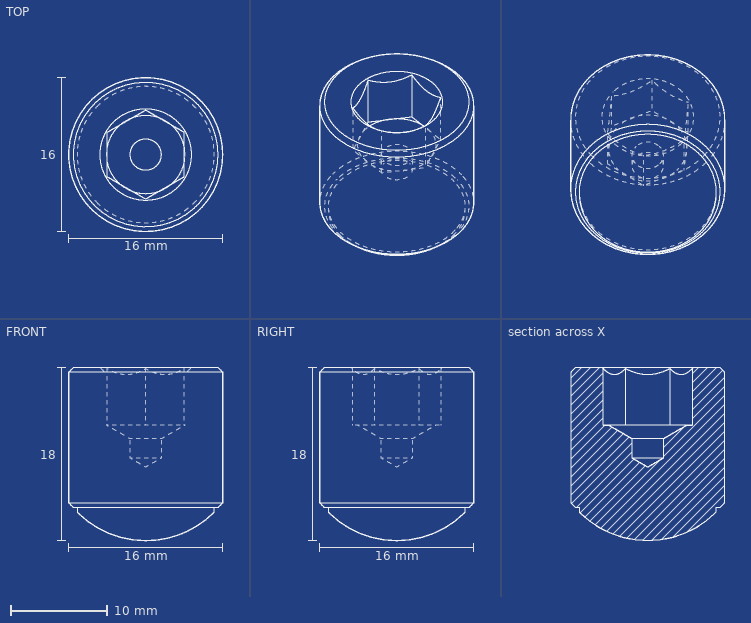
import cadquery as cq
import math

total_height = 18.0
body_diameter = 16.0
body_radius = body_diameter / 2
body_bottom = 3.44
edge_chamfer = 0.5

pad_radius = 14.2 / 2
dome_radius = 10.0
pad_edge_fillet = 0.25

hex_across_flats = 8.0
hex_across_corners = hex_across_flats / math.cos(math.radians(30))
socket_depth = 6.0
countersink_diameter = 9.5
countersink_angle = 90.0

floor_cone_radius = 8.14 / 2
pilot_radius = 3.24 / 2
pilot_depth = 2.0
drill_point_angle = 120.0
drill_slope = 1 / math.tan(math.radians(drill_point_angle / 2))


def make_body():
    """Cylinder with chamfered rims, standing above the pad."""
    return (
        cq.Workplane("XY")
        .workplane(offset=body_bottom)
        .circle(body_radius)
        .extrude(total_height - body_bottom)
        .faces("<Z or >Z")
        .chamfer(edge_chamfer)
    )


def make_pad():
    """Short cylinder ending in a shallow spherical dome with a rounded rim."""
    rim_height = dome_radius - math.sqrt(dome_radius**2 - pad_radius**2)
    half_angle = math.asin(pad_radius / dome_radius) / 2
    arc_middle = (
        dome_radius * math.sin(half_angle),
        dome_radius * (1 - math.cos(half_angle)),
    )
    rim = cq.selectors.BoxSelector(
        (-body_radius, -body_radius, rim_height - pad_edge_fillet),
        (body_radius, body_radius, rim_height + pad_edge_fillet),
    )
    return (
        cq.Workplane("XZ")
        .moveTo(0, 0)
        .threePointArc(arc_middle, (pad_radius, rim_height))
        .lineTo(pad_radius, body_bottom)
        .lineTo(0, body_bottom)
        .close()
        .revolve(360, (0, 0), (0, 1))
        .edges("%CIRCLE")
        .edges(rim)
        .fillet(pad_edge_fillet)
    )


def make_socket():
    """Hexagonal recess with two corners on the Y axis."""
    return (
        cq.Workplane("XY")
        .workplane(offset=total_height - socket_depth)
        .transformed(rotate=(0, 0, 90))
        .polygon(6, hex_across_corners)
        .extrude(socket_depth)
    )


def make_countersink():
    """Cone that relieves the hexagon corners at the top face."""
    radius = countersink_diameter / 2
    depth = radius / math.tan(math.radians(countersink_angle / 2))
    return cq.Workplane("XY").add(
        cq.Solid.makeCone(0, radius, depth, pnt=cq.Vector(0, 0, total_height - depth))
    )


def make_drilled_bottom():
    """Conical socket floor leading to a pilot hole with a conical end."""
    floor = total_height - socket_depth
    cone_end = floor - (floor_cone_radius - pilot_radius) * drill_slope
    pilot_end = cone_end - pilot_depth
    return (
        cq.Workplane("XZ")
        .moveTo(0, floor)
        .lineTo(floor_cone_radius, floor)
        .lineTo(pilot_radius, cone_end)
        .lineTo(pilot_radius, pilot_end)
        .lineTo(0, pilot_end - pilot_radius * drill_slope)
        .close()
        .revolve(360, (0, 0), (0, 1))
    )


result = (
    make_body()
    .union(make_pad())
    .cut(make_socket())
    .cut(make_countersink())
    .cut(make_drilled_bottom())
)